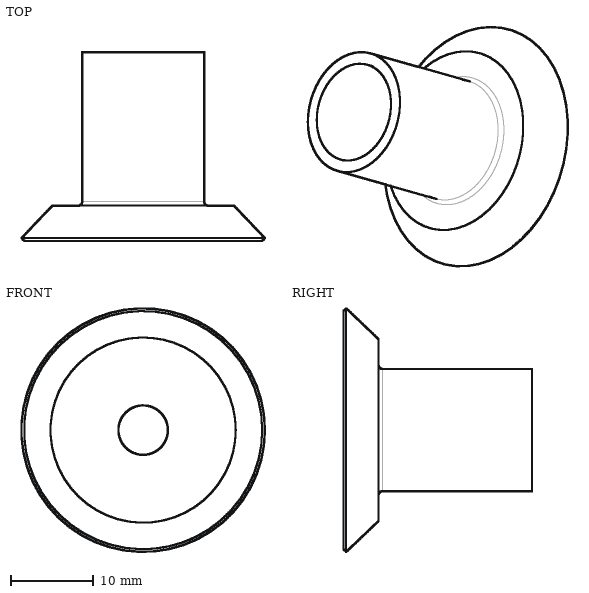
import cadquery as cq
import math

total_length = 23.0
stem_diameter = 14.9
bore_diameter = 6.0
socket_diameter = 12.0
web_thickness = 4.0
mouth_diameter = 29.0
rim_diameter = 29.69
lip_height = 0.35
cup_floor_diameter = 22.56
cup_floor_depth = 3.0
flange_height = 4.3
flange_back_diameter = 22.16
root_fillet = 0.5

stem_radius = stem_diameter / 2
bore_radius = bore_diameter / 2
socket_radius = socket_diameter / 2
socket_floor = cup_floor_depth + web_thickness
fillet_middle = root_fillet * (1 - math.sin(math.radians(45)))


def make_body():
    """Revolve the half section (radius along X, length along Y) about the Y axis."""
    section = (
        cq.Workplane("XY")
        .moveTo(bore_radius, cup_floor_depth)
        .lineTo(cup_floor_diameter / 2, cup_floor_depth)
        .lineTo(mouth_diameter / 2, 0)
        .lineTo(rim_diameter / 2, lip_height)
        .lineTo(flange_back_diameter / 2, flange_height)
        .lineTo(stem_radius + root_fillet, flange_height)
        .threePointArc(
            (stem_radius + fillet_middle, flange_height + fillet_middle),
            (stem_radius, flange_height + root_fillet),
        )
        .lineTo(stem_radius, total_length)
        .lineTo(socket_radius, total_length)
        .lineTo(socket_radius, socket_floor)
        .lineTo(bore_radius, socket_floor)
        .close()
    )
    axis_start = (0, 0)
    axis_end = (0, 1)
    return section.revolve(360, axis_start, axis_end)


result = make_body()